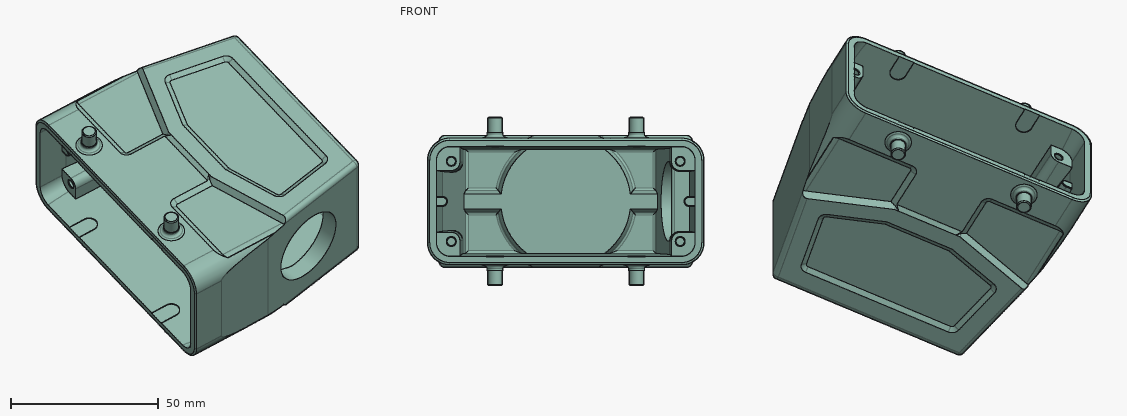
import cadquery as cq
import math


length = 76.0
mouth_half_x = 46.75
straight_y = 10.75
kink_y = 31.7
kink_half_x = 44.4
back_half_x = 36.0
top_half_z = 22.3
mouth_half_z = 21.4
corner_radius = 7.5
corner_end_y = 37.6
edge_round = 1.9
mouth_chamfer_length = 0.4
mouth_chamfer_width = 0.75
lean = (kink_half_x - back_half_x) / (length - kink_y)

wall_angle = 60
oblique_wall_angle = 38
panel_half_x = 12.4
panel_y = 31.0
panel_slope = 0.336
pad_z = 20.3
pad_inner_x = 14.4
pad_start_y = 14.7
pad_flat_x = 42.0
pad_round = 3.55
pad_clearance = 0.5
label_start_y = 36.8
label_end_y = 68.2
label_corner_x = 34.0
label_depth = 1.0
label_round = 2.8

pin_x = 23.9
pin_y = 6.2
pin_diameter = 5.0
pin_tip_z = 28.5
pin_tip_chamfer = 0.4
pin_root = 0.9
ring_radius = 2.7
ring_top_z = 23.4
flare_top_z = 22.7
flare_radius = 4.5
flare_sag = 0.2
lip_radius = 3.7
lip_top_z = 21.7

cavity_mouth_half_x = 43.8
cavity_mouth_half_z = 18.6
cavity_back_half_z = 17.6
cavity_corner_radius = 4.9
side_wall = 2.8
back_wall = 2.8
ledge_y = 9.1
cavity_end_y = length - back_wall
floor_round = 0.9

pillar_inner_x = 35.8
pillar_inner_z = 10.5
pillar_round = 2.8
pillar_draft = 1
screw_x = 38.7
screw_z = 13.6
screw_diameter = 2.8
screw_mouth_diameter = 3.4
screw_depth = 11.2
rib_inner_x = 40.0
rib_width = 3.4
rib_chamfer = 0.3
island_y = 69.5
island_radius = 22.0
island_arm_half_z = 2.5
island_draft = 20
groove_width = 5.6
groove_depth = 0.2

entry_diameter = 26.9
entry_y = 50.0
entry_wall_y = 29.0
entry_wall_extra = 3.4
entry_wall_round = 0.9
entry_start = -4.7
entry_length = 28.05

far = 187.0


def both_sides(shape, plane):
    """The shape together with its mirror image."""
    return shape.union(shape.mirror(plane))


def along_y(start, end):
    """Sketch plane facing +Y whose first axis is -X; returned with the extrusion distance."""
    plane = cq.Plane(origin=(0, start, 0), xDir=(-1, 0, 0), normal=(0, 1, 0))
    return cq.Workplane(plane), end - start


def box(x, y, z):
    """Box from its (min, max) pairs."""
    block = cq.Workplane("XY").box(x[1] - x[0], y[1] - y[0], z[1] - z[0], centered=False)
    return block.translate((x[0], y[0], z[0]))


def symmetric_outline(right_points):
    """Close a right-hand chain of points with its mirror image in X."""
    return right_points + [(-x, y) for x, y in reversed(right_points)]


def outer_prism():
    outline = symmetric_outline([
        (mouth_half_x, 0),
        (mouth_half_x, straight_y),
        (kink_half_x, kink_y),
        (back_half_x, length),
    ])
    prism = cq.Workplane("XY").polyline(outline).close().extrude(top_half_z, both=True)
    outer_edges = prism.edges(cq.selectors.BoxSelector((-far, kink_y + 0.9, -far), (far, far, far)))
    return outer_edges.fillet(edge_round)


def corner_cutter():
    """Material outside the rounded corners of the mouth section."""
    plane, depth = along_y(0, corner_end_y)
    rounded = plane.rect(2 * mouth_half_x, 2 * mouth_half_z).extrude(depth).edges("|Y").fillet(corner_radius)
    start_x = mouth_half_x - corner_radius
    start_z = mouth_half_z - corner_radius
    corner = box((start_x, far), (0, corner_end_y), (start_z, far)).cut(rounded)
    return both_sides(both_sides(corner, "YZ"), "XY")


def panel_cutter(floor_z, angle):
    """Space in front of the raised panel above a floor; the wall leans by an angle from upright."""
    run = (top_half_z - floor_z) * math.tan(math.radians(angle))
    edge_y = panel_y - run
    half_x = panel_half_x + run * (math.hypot(1, panel_slope) - 1) / panel_slope
    outline = symmetric_outline([
        (far, -far),
        (far, edge_y + panel_slope * (far - half_x)),
        (half_x, edge_y),
    ])
    floor = cq.Workplane("XY").workplane(offset=floor_z).polyline(outline).close()
    return floor.extrude(top_half_z - floor_z, taper=-angle)


def pad_cutter():
    """Sunken pads beside the middle strip; their floors round over towards the sides."""
    base_z = pad_z - pad_clearance
    base_run = pad_clearance * math.tan(math.radians(wall_angle))
    corner_x = pad_inner_x + base_run
    corner_y = pad_start_y + base_run
    outline = [
        (corner_x, corner_y),
        (far, corner_y),
        (far, far),
        (corner_x, far),
    ]
    base = cq.Workplane("XY").workplane(offset=base_z).polyline(outline).close()
    pad = base.extrude(top_half_z - base_z, taper=-wall_angle)
    reach = pad_flat_x + pad_round
    floor = box((-reach, reach), (-far, far), (0, pad_z)).edges("|Y and >Z").fillet(pad_round)
    pads = both_sides(pad, "YZ").intersect(panel_cutter(base_z, oblique_wall_angle))
    return pads.cut(floor)


def label_cutter():
    """Label pocket in the raised panel, with rounded corners and leaning walls."""
    corner_y = label_start_y + panel_slope * (label_corner_x - panel_half_x)
    end_x = label_corner_x - lean * (label_end_y - corner_y)
    outline = symmetric_outline([
        (panel_half_x, label_start_y),
        (label_corner_x, corner_y),
        (end_x, label_end_y),
    ])
    sketch = cq.Sketch().polygon(outline + outline[:1])
    sketch = sketch.vertices(">Y or <X or >X").fillet(label_round)
    top = cq.Workplane("XY").workplane(offset=top_half_z).placeSketch(sketch)
    return top.extrude(-label_depth, taper=wall_angle)


def pin():
    """Locking pin with a ring and a hollow flare at its foot."""
    radius = pin_diameter / 2
    root_z = mouth_half_z - pin_root
    flare_middle = (
        (ring_radius + lip_radius) / 2 - flare_sag,
        (flare_top_z + lip_top_z) / 2 - flare_sag,
    )
    return (
        cq.Workplane("XZ")
        .moveTo(0, root_z)
        .lineTo(flare_radius, root_z)
        .lineTo(flare_radius, mouth_half_z)
        .lineTo(lip_radius, lip_top_z)
        .threePointArc(flare_middle, (ring_radius, flare_top_z))
        .lineTo(ring_radius, ring_top_z)
        .lineTo(radius, ring_top_z)
        .lineTo(radius, pin_tip_z - pin_tip_chamfer)
        .lineTo(radius - pin_tip_chamfer, pin_tip_z)
        .lineTo(0, pin_tip_z)
        .close()
        .revolve(360, (0, 0), (0, 1))
        .translate((pin_x, pin_y, 0))
    )


def inner_side_x(y):
    """Half width of the cavity at a place on the leaning part of the side walls."""
    return kink_half_x - side_wall - lean * (y - kink_y)


def cavity_space():
    """Empty space of the cavity before pillars, ribs and the island are added."""
    plane, depth = along_y(0, ledge_y)
    mouth = plane.rect(2 * cavity_mouth_half_x, 2 * cavity_mouth_half_z).extrude(depth)
    mouth = mouth.edges("|Y").fillet(cavity_corner_radius)
    outline = symmetric_outline([
        (cavity_mouth_half_x, ledge_y),
        (cavity_mouth_half_x, straight_y),
        (inner_side_x(kink_y), kink_y),
        (inner_side_x(cavity_end_y), cavity_end_y),
    ])
    deep = cq.Workplane("XY").polyline(outline).close().extrude(far, both=True)
    side_outline = [
        (0, cavity_mouth_half_z),
        (cavity_end_y, cavity_back_half_z),
        (cavity_end_y, -cavity_back_half_z),
        (0, -cavity_mouth_half_z),
    ]
    drafted = cq.Workplane("YZ").polyline(side_outline).close().extrude(far, both=True)
    return mouth.union(deep).intersect(drafted)


def pillars():
    """Drafted pillars in the four corners, with a rounded edge towards the middle."""
    plane, depth = along_y(ledge_y, length)
    section = cq.Sketch().push([(-(pillar_inner_x + far) / 2, (pillar_inner_z + far) / 2)])
    section = section.rect(far - pillar_inner_x, far - pillar_inner_z).reset().vertices().fillet(pillar_round)
    pillar = plane.placeSketch(section).extrude(depth, taper=-pillar_draft)
    return both_sides(both_sides(pillar, "YZ"), "XY")


def ribs():
    """Round-nosed ribs in the middle of both side walls."""
    plane, depth = along_y(ledge_y, length)
    round_x = rib_inner_x + rib_width / 2
    rib = plane.center(-round_x, 0).circle(rib_width / 2).extrude(depth)
    rib = rib.union(box((round_x, far), (ledge_y, length), (-rib_width / 2, rib_width / 2)))
    rib = rib.faces("<Y").chamfer(rib_chamfer)
    return both_sides(rib, "YZ")


def island():
    """Round island with two arms, drafted, on the back wall."""
    plane, depth = along_y(island_y, length)
    disc = plane.circle(island_radius).extrude(depth, taper=-island_draft)
    arms = plane.rect(far, 2 * island_arm_half_z).extrude(depth, taper=-island_draft)
    return disc.union(arms)


def entry_wall():
    """Thick part of the +X wall: flush with the pillars, then following the lean."""
    end_x = inner_side_x(length) - entry_wall_extra
    lean_start_y = length - (pillar_inner_x - end_x) / lean
    outline = [
        (pillar_inner_x, entry_wall_y),
        (pillar_inner_x, lean_start_y),
        (end_x, length),
        (far, length),
        (far, entry_wall_y),
    ]
    wall = cq.Workplane("XY").polyline(outline).close().extrude(far, both=True)
    return wall.edges("|Z").edges("<Y").edges("<X").fillet(entry_wall_round)


def entry_hole():
    """Cable entry, square to the leaning +X wall."""
    plane = cq.Plane(
        origin=(inner_side_x(entry_y) - entry_wall_extra, entry_y, 0),
        xDir=(0, 0, 1),
        normal=(1, lean, 0),
    )
    return cq.Workplane(plane).workplane(offset=entry_start).circle(entry_diameter / 2).extrude(entry_length)


def screw_holes():
    """Blind, countersunk screw holes in the pillars."""
    plane, depth = along_y(ledge_y, ledge_y + screw_depth)
    centers = plane.rect(2 * screw_x, 2 * screw_z, forConstruction=True).vertices()
    holes = centers.circle(screw_diameter / 2).extrude(depth)
    countersink_depth = (screw_mouth_diameter - screw_diameter) / 2
    countersinks = centers.circle(screw_mouth_diameter / 2).extrude(countersink_depth, taper=45)
    return holes.union(countersinks)


def pin_grooves():
    """Round-ended grooves in both long walls, running from the mouth to just past the pins."""
    half_z = cavity_mouth_half_z + groove_depth
    half_width = groove_width / 2
    groove = (
        cq.Workplane("XY")
        .moveTo(pin_x - half_width, 0)
        .lineTo(pin_x + half_width, 0)
        .lineTo(pin_x + half_width, pin_y)
        .threePointArc((pin_x, pin_y + half_width), (pin_x - half_width, pin_y))
        .close()
        .extrude(half_z, both=True)
    )
    return both_sides(groove, "YZ")


body = outer_prism().cut(corner_cutter())
for cutter in (panel_cutter(mouth_half_z, wall_angle), pad_cutter(), label_cutter()):
    body = body.cut(both_sides(cutter, "XY"))
body = body.faces("<Y").chamfer(mouth_chamfer_width, mouth_chamfer_length)
body = body.union(both_sides(both_sides(pin(), "YZ"), "XY"))

space = cavity_space()
for filling in (pillars(), ribs(), island(), entry_wall()):
    space = space.cut(filling)
space = space.faces(">Y").edges().fillet(floor_round)
body = body.cut(space)
body = body.cut(pin_grooves())
body = body.cut(screw_holes())
result = body.cut(entry_hole())